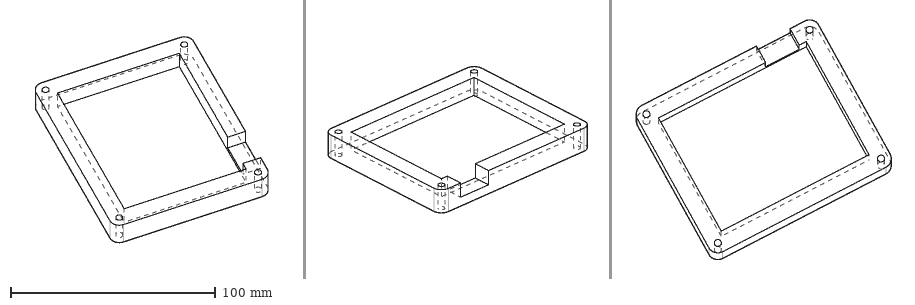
import cadquery as cq

length = 100.6
width = 84.0
height = 13.0
corner_radius = 5.0

pocket_length = 82.0
pocket_width = 65.0
pocket_depth = 10.0

notch_length = 18.6
notch_center_x = 27.8
notch_depth = 7.9

hole_diameter = 3.4


def make_block():
    block = cq.Workplane("XY").box(length, width, height, centered=(True, True, False))
    return block.edges("|Z").fillet(corner_radius)


def make_pocket():
    pocket = cq.Workplane("XY").workplane(offset=height - pocket_depth)
    return pocket.rect(pocket_length, pocket_width).extrude(pocket_depth)


def make_notch():
    wall_thickness = (width - pocket_width) / 2
    wall_center_y = (width - wall_thickness) / 2
    notch = cq.Workplane("XY").workplane(offset=height - notch_depth)
    notch = notch.center(notch_center_x, wall_center_y)
    return notch.rect(notch_length, wall_thickness).extrude(notch_depth)


def make_holes():
    spacing_x = length - 2 * corner_radius
    spacing_y = width - 2 * corner_radius
    holes = cq.Workplane("XY").rect(spacing_x, spacing_y, forConstruction=True).vertices()
    return holes.circle(hole_diameter / 2).extrude(height)


result = make_block().cut(make_pocket()).cut(make_notch()).cut(make_holes())